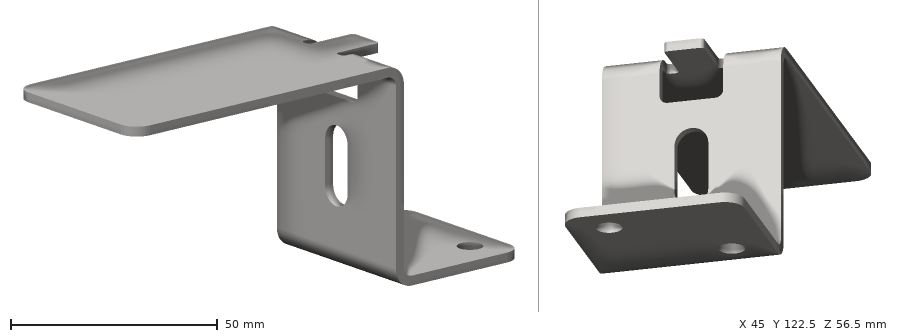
import cadquery as cq

thickness = 2.5
width = 45.0
length = 122.5
height = 56.5
inner_bend_radius = 2.5
outer_bend_radius = inner_bend_radius + thickness
corner_radius = 5.0

foot_length = 40.0
foot_hole_diameter = 6.5
foot_hole_spacing_x = 25.0

slot_width = 8.5
slot_height = 20.5
slot_center_z = 26.0

tab_width = 10.0
tab_length = 14.0
tab_corner_radius = 1.0
relief_width = 3.0
relief_past_bend = 2.0
relief_corner_radius = 1.0
window_depth = 13.0
window_corner_radius = 2.0

foot_back_y = length
wall_front_y = length - foot_length
wall_back_y = wall_front_y + thickness
upper_bend_start_y = wall_back_y - outer_bend_radius
relief_end_y = upper_bend_start_y - relief_past_bend
tab_tip_y = relief_end_y + tab_length
window_width = tab_width + 2 * relief_width
window_bottom_z = height - window_depth

foot_reach = foot_back_y - wall_back_y
foot_hole_spacing_y = foot_hole_spacing_x * foot_reach / width


def bent_sheet():
    """Z-shaped sheet: foot to the back, upright wall, upper plate to the front."""
    sheet = (
        cq.Workplane("YZ")
        .moveTo(0, height)
        .lineTo(wall_back_y, height)
        .lineTo(wall_back_y, thickness)
        .lineTo(foot_back_y, thickness)
        .lineTo(foot_back_y, 0)
        .lineTo(wall_front_y, 0)
        .lineTo(wall_front_y, height - thickness)
        .lineTo(0, height - thickness)
        .close()
        .extrude(width / 2, both=True)
    )
    bends = [
        (wall_back_y, height, outer_bend_radius),
        (wall_front_y, height - thickness, inner_bend_radius),
        (wall_front_y, 0, outer_bend_radius),
        (wall_back_y, thickness, inner_bend_radius),
    ]
    for y, z, radius in bends:
        bend_edge = cq.selectors.NearestToPointSelector((0, y, z))
        sheet = sheet.edges("|X").edges(bend_edge).fillet(radius)
    return sheet.faces("<Y or >Y").edges("|Z").fillet(corner_radius)


def relief_window():
    """Opening through the upper bend, running into the plate and down the wall."""
    plate_cut = (
        cq.Workplane("XY")
        .workplane(offset=height - thickness)
        .center(0, (relief_end_y + wall_back_y) / 2)
        .rect(window_width, wall_back_y - relief_end_y)
        .extrude(thickness)
    )
    wall_cut = (
        cq.Workplane("XZ", origin=(0, wall_back_y, 0))
        .center(0, (window_bottom_z + height) / 2)
        .rect(window_width, window_depth)
        .extrude(outer_bend_radius)
        .edges("|Y and <Z")
        .fillet(window_corner_radius)
    )
    return plate_cut.union(wall_cut)


def tab():
    """Flat tab in the plane of the upper plate, with rounded tip corners."""
    return (
        cq.Workplane("XY")
        .workplane(offset=height - thickness)
        .center(0, (relief_end_y + tab_tip_y) / 2)
        .rect(tab_width, tab_length)
        .extrude(thickness)
        .edges("|Z and >Y")
        .fillet(tab_corner_radius)
    )


def round_relief_ends(body):
    """Round the closed ends of the two relief slots beside the tab."""
    for x in (-window_width / 2, -tab_width / 2, tab_width / 2, window_width / 2):
        end_edge = cq.selectors.NearestToPointSelector((x, relief_end_y, height - thickness / 2))
        body = body.edges("|Z").edges(end_edge).fillet(relief_corner_radius)
    return body


def wall_slot():
    """Upright obround slot through the wall."""
    return (
        cq.Workplane("XZ", origin=(0, wall_back_y, slot_center_z))
        .slot2D(slot_height, slot_width, 90)
        .extrude(thickness)
    )


def foot_holes():
    """Two holes on the foot's diagonal, centred between the wall and the foot edge."""
    foot_center_y = (wall_back_y + foot_back_y) / 2
    half_x = foot_hole_spacing_x / 2
    half_y = foot_hole_spacing_y / 2
    return (
        cq.Workplane("XY")
        .center(0, foot_center_y)
        .pushPoints([(half_x, half_y), (-half_x, -half_y)])
        .circle(foot_hole_diameter / 2)
        .extrude(thickness)
    )


bracket = bent_sheet().cut(relief_window()).union(tab())
bracket = round_relief_ends(bracket)
result = bracket.cut(wall_slot()).cut(foot_holes())